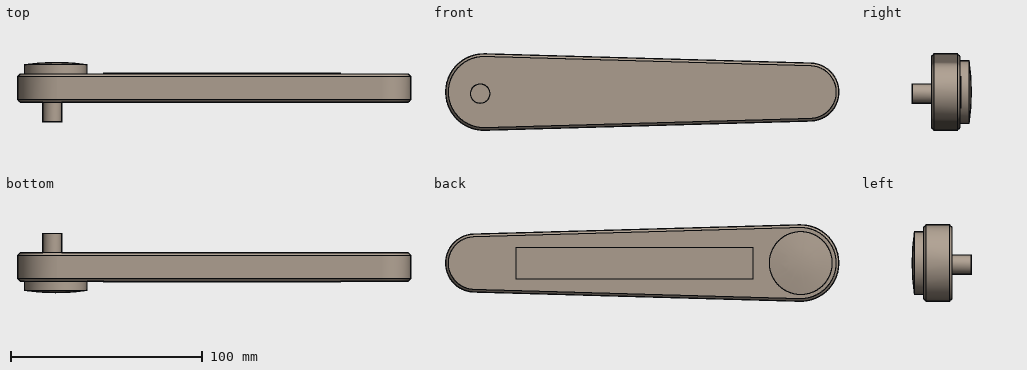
import cadquery as cq
import math

length = 205.2
big_radius = 20.01
small_radius = 15.2
thickness = 15.0
edge_chamfer = 1.5

cap_center_x = 20.0
cap_radius = 16.5
cap_wall = 4.7
dome_rise = 1.2

pin_center_x = 18.0
pin_center_z = -0.8
pin_radius = 5.03
pin_length = 10.0

pad_start_x = 45.0
pad_end_x = 168.5
pad_width = 16.5
pad_height = 0.5

big_center_x = big_radius
small_center_x = length - small_radius


def make_arm():
    """Two end arcs joined by their common tangents, chamfered all round."""
    taper = math.asin((big_radius - small_radius) / (small_center_x - big_center_x))
    big_x = big_center_x + big_radius * math.sin(taper)
    big_z = big_radius * math.cos(taper)
    small_x = small_center_x + small_radius * math.sin(taper)
    small_z = small_radius * math.cos(taper)
    return (
        cq.Workplane("XZ")
        .moveTo(big_x, big_z)
        .lineTo(small_x, small_z)
        .threePointArc((length, 0), (small_x, -small_z))
        .lineTo(big_x, -big_z)
        .threePointArc((0, 0), (big_x, big_z))
        .close()
        .extrude(-thickness)
        .faces("<Y or >Y")
        .chamfer(edge_chamfer)
    )


def make_cap():
    """Disc with a shallow spherical dome, revolved about its Y axis."""
    rim_y = thickness + cap_wall
    apex_y = rim_y + dome_rise
    dome_radius = (cap_radius**2 + dome_rise**2) / (2 * dome_rise)
    mid_r = cap_radius / 2
    mid_y = apex_y - dome_radius + math.sqrt(dome_radius**2 - mid_r**2)
    return (
        cq.Workplane("XY")
        .moveTo(0, thickness)
        .lineTo(cap_radius, thickness)
        .lineTo(cap_radius, rim_y)
        .threePointArc((mid_r, mid_y), (0, apex_y))
        .close()
        .revolve(360, (0, 0), (0, 1))
        .translate((cap_center_x, 0, 0))
    )


def make_pin():
    return (
        cq.Workplane("XZ")
        .center(pin_center_x, pin_center_z)
        .circle(pin_radius)
        .extrude(pin_length)
    )


def make_pad():
    return (
        cq.Workplane("XZ", origin=(0, thickness, 0))
        .center((pad_start_x + pad_end_x) / 2, 0)
        .rect(pad_end_x - pad_start_x, pad_width)
        .extrude(-pad_height)
    )


result = make_arm().union(make_cap()).union(make_pin()).union(make_pad())